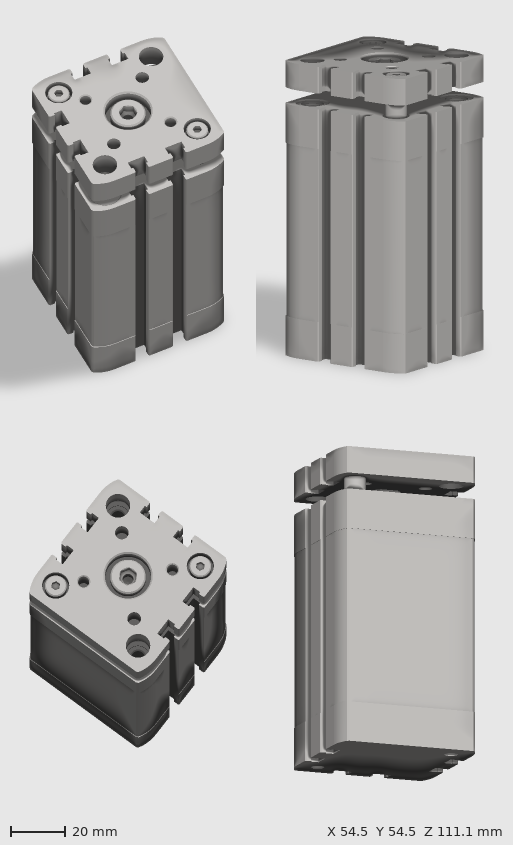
import cadquery as cq
import math


width = 54.5
total_height = 111.1
plate_thickness = 10.0
plate_gap = 6.0
end_cap_length = 14.9
tube_inset = 0.2
plate_bottom = total_height - plate_thickness
housing_height = plate_bottom - plate_gap

corner_arc_start_y = 19.1
corner_arc_end_x = 25.2
corner_arc_end_y = 26.8
corner_bevel_end_x = 24.4

slot_offset = 7.7
slot_mouth_width = 5.2
slot_inner_width = 6.8
slot_depth = 5.4
slot_lip_depth = 2.3
slot_lip_chamfer = 0.4
slot_overrun = 1.1

rod_diameter = 12.0
rod_flat_width = 10.0
rod_flat_clearance = 1.3
rod_insertion = 14.9
rod_bottom = housing_height - rod_insertion

head_recess_diameter = 17.0
head_recess_chamfer = 0.6
head_recess_depth = 5.0
head_diameter = 13.0
head_chamfer = 0.5
head_sink = 1.0
head_top = total_height - head_sink

socket_width = 6.0
socket_depth = 3.0
socket_mouth_diameter = 6.8
pilot_diameter = 4.0
pilot_depth = 8.0
drill_point_angle = 118.0

corner_pitch = 19.0
guide_diameter = 8.0
guide_end_chamfer = 0.4
guide_end_sink = 0.3
guide_recess_diameter = 10.0
guide_recess_depth = 5.0
guide_hex_width = 3.0
guide_hex_depth = 2.2
bushing_diameter = 10.0
bushing_recess_depth = 0.2

access_diameter = 9.0
mount_rim_diameter = 12.8
mount_seat_diameter = 11.9
mount_seat_depth = 0.4
mount_floor_diameter = 8.5
mount_floor_depth = 1.0
mount_hole_diameter = 5.0
mount_hole_chamfer = 0.5

plate_hole_pitch = 11.7
plain_hole_diameter = 5.0
threaded_hole_diameter = 4.1
threaded_hole_chamfer = 0.4

center = (0, 0)
guide_points = [(-corner_pitch, -corner_pitch), (corner_pitch, corner_pitch)]
mount_points = [(-corner_pitch, corner_pitch), (corner_pitch, -corner_pitch)]
threaded_points = [(-plate_hole_pitch, -plate_hole_pitch), (plate_hole_pitch, plate_hole_pitch)]
plain_points = [(-plate_hole_pitch, plate_hole_pitch), (plate_hole_pitch, -plate_hole_pitch)]




def cylinder(point, diameter, z_bottom, z_top):
    base = cq.Workplane("XY", origin=(point[0], point[1], z_bottom))
    return base.circle(diameter / 2).extrude(z_top - z_bottom)


def cone(point, bottom_diameter, top_diameter, z_bottom, z_top):
    base = cq.Vector(point[0], point[1], z_bottom)
    height = z_top - z_bottom
    return cq.Workplane(cq.Solid.makeCone(bottom_diameter / 2, top_diameter / 2, height, pnt=base))


def countersink(point, diameter, chamfer, z_face):
    """Cutter for a 45 degree chamfer that opens a hole upward at z_face."""
    return cone(point, diameter, diameter + 2 * chamfer, z_face - chamfer, z_face)


def drill_point(point, diameter, z_base):
    """Conical end of a drilled hole whose straight part ends at z_base."""
    depth = diameter / 2 / math.tan(math.radians(drill_point_angle / 2))
    return cone(point, 0, diameter, z_base - depth, z_base)


def hex_corner_diameter(across_flats):
    return across_flats / math.cos(math.pi / 6)


def hex_prism(point, across_flats, z_bottom, z_top):
    base = cq.Workplane("XY", origin=(point[0], point[1], z_bottom))
    return base.polygon(6, hex_corner_diameter(across_flats)).extrude(z_top - z_bottom)




def square_block(z_bottom, z_top, inset):
    """Square profile with arched corners, its sides and corners moved inward by inset."""
    half = width / 2 - inset
    arc_x = corner_arc_end_x - inset
    arc_y = corner_arc_end_y - inset
    bevel_x = corner_bevel_end_x - inset
    rise = half - arc_x
    run = arc_y - corner_arc_start_y
    radius = (rise**2 + run**2) / (2 * rise)
    return (
        cq.Workplane("XY", origin=(0, 0, z_bottom))
        .moveTo(-bevel_x, -half)
        .lineTo(bevel_x, -half)
        .lineTo(arc_x, -arc_y)
        .radiusArc((half, -corner_arc_start_y), -radius)
        .lineTo(half, corner_arc_start_y)
        .radiusArc((arc_x, arc_y), -radius)
        .lineTo(bevel_x, half)
        .lineTo(-bevel_x, half)
        .lineTo(-arc_x, arc_y)
        .radiusArc((-half, corner_arc_start_y), -radius)
        .lineTo(-half, -corner_arc_start_y)
        .radiusArc((-arc_x, -arc_y), -radius)
        .close()
        .extrude(z_top - z_bottom)
    )


def t_slot(z_bottom, z_top):
    """Cutter for one T-slot with a chamfered mouth that opens at the -Y side."""
    face = -width / 2
    mouth = slot_mouth_width / 2
    inner = slot_inner_width / 2
    right_half = [
        (mouth + slot_lip_chamfer + slot_overrun, face - slot_overrun),
        (mouth, face + slot_lip_chamfer),
        (mouth, face + slot_lip_depth),
        (inner, face + slot_lip_depth),
        (inner, face + slot_depth),
    ]
    left_half = [(-x, y) for x, y in reversed(right_half)]
    base = cq.Workplane("XY", origin=(0, 0, z_bottom))
    return base.polyline(right_half + left_half).close().extrude(z_top - z_bottom)


def cut_t_slots(body, z_bottom, z_top):
    """Two slots on each of the -X, -Y and +X sides."""
    slot = t_slot(z_bottom, z_top)
    for side_angle in (-90, 0, 90):
        for offset in (-slot_offset, slot_offset):
            cutter = slot.translate((offset, 0, 0)).rotate((0, 0, 0), (0, 0, 1), side_angle)
            body = body.cut(cutter)
    return body




def cut_rod_bores(body):
    """Blind bores that the piston rod and the guide rods fill, with a shallow bushing recess."""
    body = body.cut(cylinder(center, rod_diameter, rod_bottom, housing_height))
    recess_floor = housing_height - bushing_recess_depth
    for point in guide_points:
        body = body.cut(cylinder(point, guide_diameter, rod_bottom, housing_height))
        body = body.cut(cylinder(point, bushing_diameter, recess_floor, housing_height))
    return body


def cut_mounting_holes(body):
    """Through holes that widen in steps at the top of the housing."""
    seat_z = housing_height - mount_seat_depth
    floor_z = housing_height - mount_floor_depth
    for point in mount_points:
        body = body.cut(cylinder(point, mount_hole_diameter, 0, housing_height))
        body = body.cut(countersink(point, mount_hole_diameter, mount_hole_chamfer, floor_z))
        body = body.cut(cylinder(point, mount_floor_diameter, floor_z, seat_z))
        body = body.cut(cone(point, mount_seat_diameter, mount_rim_diameter, seat_z, housing_height))
    return body


def build_housing():
    """A tube between two end caps that stand slightly proud of it."""
    upper_cap_bottom = housing_height - end_cap_length
    body = square_block(0, end_cap_length, 0)
    body = body.union(square_block(end_cap_length, upper_cap_bottom, tube_inset))
    body = body.union(square_block(upper_cap_bottom, housing_height, 0))
    body = cut_t_slots(body, 0, housing_height)
    return cut_mounting_holes(cut_rod_bores(body))




def piston_rod():
    """Round rod with two flats above the housing, each ending in a 45 degree ramp."""
    rod = cylinder(center, rod_diameter, rod_bottom, plate_bottom)
    inner_y = rod_flat_width / 2
    outer_y = rod_diameter / 2
    flat_bottom = housing_height + rod_flat_clearance
    flat_profile = [
        (inner_y, plate_bottom),
        (inner_y, flat_bottom),
        (outer_y, flat_bottom - (outer_y - inner_y)),
        (outer_y, plate_bottom),
    ]
    flat = cq.Workplane("YZ").polyline(flat_profile).close().extrude(rod_diameter / 2, both=True)
    return rod.cut(flat).cut(flat.mirror("XZ"))


def cut_socket(body):
    """Hexagon socket with a conical floor and a pilot hole in the rod head."""
    socket_floor = head_top - socket_depth
    pilot_floor = head_top - pilot_depth
    corner_diameter = hex_corner_diameter(socket_width)
    envelope = cylinder(center, corner_diameter, socket_floor, head_top)
    envelope = envelope.union(drill_point(center, corner_diameter, socket_floor))
    socket = hex_prism(center, socket_width, pilot_floor, head_top).intersect(envelope)
    mouth_chamfer = (socket_mouth_diameter - socket_width) / 2
    body = body.cut(socket)
    body = body.cut(countersink(center, socket_width, mouth_chamfer, head_top))
    body = body.cut(cylinder(center, pilot_diameter, pilot_floor, socket_floor))
    return body.cut(drill_point(center, pilot_diameter, pilot_floor))


def add_piston_rod(plate):
    recess_floor = total_height - head_recess_depth
    plate = plate.cut(cylinder(center, head_recess_diameter, recess_floor, total_height))
    plate = plate.cut(countersink(center, head_recess_diameter, head_recess_chamfer, total_height))
    head = cylinder(center, head_diameter, recess_floor, head_top).faces(">Z").chamfer(head_chamfer)
    return cut_socket(plate.union(head).union(piston_rod()))


def add_guide_rods(plate):
    recess_floor = total_height - guide_recess_depth
    guide_top = total_height - guide_end_sink
    for point in guide_points:
        plate = plate.cut(cylinder(point, guide_recess_diameter, recess_floor, total_height))
        guide = cylinder(point, guide_diameter, rod_bottom, guide_top)
        guide = guide.faces(">Z").chamfer(guide_end_chamfer)
        plate = plate.union(guide)
        plate = plate.cut(hex_prism(point, guide_hex_width, guide_top - guide_hex_depth, guide_top))
    return plate


def cut_plate_holes(plate):
    for point in mount_points:
        plate = plate.cut(cylinder(point, access_diameter, plate_bottom, total_height))
    for point in plain_points:
        plate = plate.cut(cylinder(point, plain_hole_diameter, plate_bottom, total_height))
    for point in threaded_points:
        plate = plate.cut(cylinder(point, threaded_hole_diameter, plate_bottom, total_height))
        plate = plate.cut(countersink(point, threaded_hole_diameter, threaded_hole_chamfer, total_height))
    return plate


def build_piston_unit():
    plate = square_block(plate_bottom, total_height, 0)
    plate = cut_t_slots(plate, plate_bottom, total_height)
    plate = cut_plate_holes(plate)
    return add_guide_rods(add_piston_rod(plate))


housing = build_housing()
piston_unit = build_piston_unit()
result = cq.Compound.makeCompound([housing.val(), piston_unit.val()])